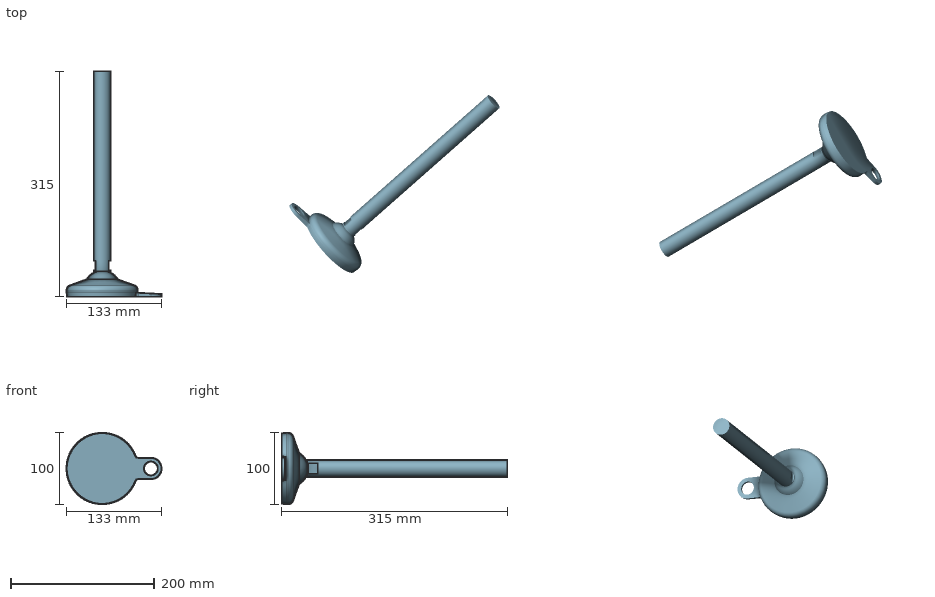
import cadquery as cq
import math


TOTAL_LENGTH = 315.0
SPINDLE_DIAMETER = 24.0
SPINDLE_START = 35.4
FLATS_START = 37.0
FLATS_LENGTH = 13.0
ACROSS_FLATS = 19.0

FOOT_RADIUS = 50.0
RIM_TOP = 8.5
SHOULDER_RADIUS = 8.0
CONE_ANGLE = math.radians(20)
CONE_TOP_RADIUS = 21.2
DOME_RADIUS = 25.0
DOME_OVERHANG = 0.2

PAD_THICKNESS = 6.0
PAD_SOLE_RADIUS = 49.3
TAB_END_RADIUS = 15.0
TAB_CENTRE_X = 68.0
TAB_HOLE_DIAMETER = 19.0
TAB_TIP_THICKNESS = 4.0
TAB_NECK_RADIUS = 5.0


def make_spindle():
    """Round spindle with two opposite wrench flats near its lower end."""
    spindle = (
        cq.Workplane("XZ", origin=(0, SPINDLE_START, 0))
        .circle(SPINDLE_DIAMETER / 2)
        .extrude(SPINDLE_START - TOTAL_LENGTH)
    )
    flat_depth = (SPINDLE_DIAMETER - ACROSS_FLATS) / 2
    for side in (-1, 1):
        cutter = cq.Workplane("XY").box(flat_depth, FLATS_LENGTH, SPINDLE_DIAMETER).translate(
            (side * (ACROSS_FLATS + flat_depth) / 2, FLATS_START + FLATS_LENGTH / 2, 0)
        )
        spindle = spindle.cut(cutter)
    return spindle


def make_foot_body():
    """Revolved foot: tapered pad, straight rim, rounded shoulder, cone and spherical dome."""
    shoulder_centre_x = FOOT_RADIUS - SHOULDER_RADIUS

    def shoulder_point(angle):
        return (
            shoulder_centre_x + SHOULDER_RADIUS * math.cos(angle),
            RIM_TOP + SHOULDER_RADIUS * math.sin(angle),
        )

    cone_tangent_angle = math.pi / 2 - CONE_ANGLE
    cone_start = shoulder_point(cone_tangent_angle)
    dome_base_y = cone_start[1] + (cone_start[0] - CONE_TOP_RADIUS) * math.tan(CONE_ANGLE)
    dome_base_radius = CONE_TOP_RADIUS + DOME_OVERHANG
    dome_centre_y = dome_base_y - math.sqrt(DOME_RADIUS**2 - dome_base_radius**2)
    dome_middle_angle = (math.acos(dome_base_radius / DOME_RADIUS) + math.pi / 2) / 2
    dome_middle = (
        DOME_RADIUS * math.cos(dome_middle_angle),
        dome_centre_y + DOME_RADIUS * math.sin(dome_middle_angle),
    )
    profile = (
        cq.Workplane("XY")
        .lineTo(PAD_SOLE_RADIUS, 0)
        .lineTo(FOOT_RADIUS, PAD_THICKNESS)
        .lineTo(FOOT_RADIUS, RIM_TOP)
        .threePointArc(shoulder_point(cone_tangent_angle / 2), cone_start)
        .lineTo(CONE_TOP_RADIUS, dome_base_y)
        .lineTo(dome_base_radius, dome_base_y)
        .threePointArc(dome_middle, (0, dome_centre_y + DOME_RADIUS))
        .close()
    )
    return profile.revolve(360, (0, 0, 0), (0, 1, 0))


def make_tab():
    """Pierced tab with a sloping top, blended into the pad by a concave fillet on each side."""
    fillet_centre_z = TAB_END_RADIUS + TAB_NECK_RADIUS
    fillet_centre_distance = PAD_SOLE_RADIUS + TAB_NECK_RADIUS
    fillet_centre_x = math.sqrt(fillet_centre_distance**2 - fillet_centre_z**2)
    touch_ratio = PAD_SOLE_RADIUS / fillet_centre_distance
    touch_x = fillet_centre_x * touch_ratio
    touch_z = fillet_centre_z * touch_ratio

    tip_x = TAB_CENTRE_X + TAB_END_RADIUS
    to_pad = math.atan2(touch_z - fillet_centre_z, touch_x - fillet_centre_x)
    middle_angle = (to_pad - math.pi / 2) / 2
    middle_x = fillet_centre_x + TAB_NECK_RADIUS * math.cos(middle_angle)
    middle_z = fillet_centre_z + TAB_NECK_RADIUS * math.sin(middle_angle)

    tab = (
        cq.Workplane("XZ")
        .lineTo(touch_x, touch_z)
        .threePointArc((middle_x, middle_z), (fillet_centre_x, TAB_END_RADIUS))
        .lineTo(TAB_CENTRE_X, TAB_END_RADIUS)
        .threePointArc((tip_x, 0), (TAB_CENTRE_X, -TAB_END_RADIUS))
        .lineTo(fillet_centre_x, -TAB_END_RADIUS)
        .threePointArc((middle_x, -middle_z), (touch_x, -touch_z))
        .close()
        .extrude(-PAD_THICKNESS)
    )
    hole = (
        cq.Workplane("XZ").center(TAB_CENTRE_X, 0).circle(TAB_HOLE_DIAMETER / 2).extrude(-PAD_THICKNESS)
    )
    slope_envelope = (
        cq.Workplane("XY")
        .lineTo(tip_x, 0)
        .lineTo(tip_x, TAB_TIP_THICKNESS)
        .lineTo(touch_x, PAD_THICKNESS)
        .lineTo(0, PAD_THICKNESS)
        .close()
        .extrude(FOOT_RADIUS, both=True)
    )
    return tab.intersect(slope_envelope).cut(hole)


result = make_foot_body().union(make_tab()).union(make_spindle())